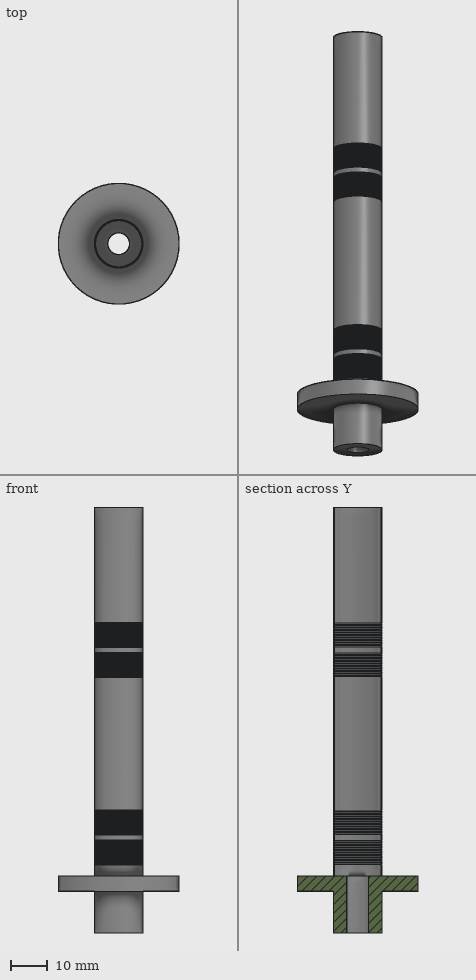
import cadquery as cq

total_height = 116.18
tube_diameter = 13.297
bore_diameter = 12.61
floor_hole_diameter = 5.88

flange_diameter = 33.02
flange_bottom = 11.4
flange_thickness = 4.2
flange_top = flange_bottom + flange_thickness

pair_bottoms = (18.6, 69.8)
band_height = 6.8
gap_in_pair = 1.35
grooves_per_band = 20
groove_pitch = band_height / grooves_per_band
groove_depth = 0.1

tube_radius = tube_diameter / 2
flange_radius = flange_diameter / 2


def grooved_band(profile, bottom):
    """Add the edge of one band of adjoining V-grooves to the outer profile, going up."""
    profile = profile.lineTo(tube_radius, bottom)
    for index in range(grooves_per_band):
        groove_bottom = bottom + index * groove_pitch
        profile = profile.lineTo(tube_radius - groove_depth, groove_bottom + groove_pitch / 2)
        profile = profile.lineTo(tube_radius, groove_bottom + groove_pitch)
    return profile


def outer_body():
    """Solid tube with its flange and grooved bands, revolved about Z."""
    profile = (
        cq.Workplane("XZ")
        .lineTo(tube_radius, 0)
        .lineTo(tube_radius, flange_bottom)
        .lineTo(flange_radius, flange_bottom)
        .lineTo(flange_radius, flange_top)
        .lineTo(tube_radius, flange_top)
    )
    for pair_bottom in pair_bottoms:
        profile = grooved_band(profile, pair_bottom)
        profile = grooved_band(profile, pair_bottom + band_height + gap_in_pair)
    profile = profile.lineTo(tube_radius, total_height).lineTo(0, total_height).close()
    return profile.revolve(360, (0, 0, 0), (0, 1, 0))


def bore():
    """Wide bore, open at the top of the tube."""
    floor = cq.Workplane("XY").workplane(offset=flange_top)
    return floor.circle(bore_diameter / 2).extrude(total_height - flange_top)


def floor_hole():
    """Narrow hole from the floor of the bore through the bottom end."""
    return cq.Workplane("XY").circle(floor_hole_diameter / 2).extrude(flange_top)


result = outer_body().cut(bore()).cut(floor_hole())